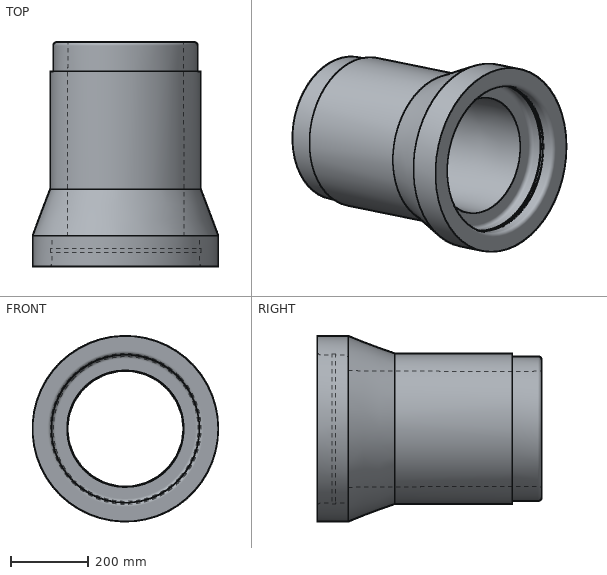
import cadquery as cq

length = 580.0
collar_diameter = 480.0
collar_length = 80.0
body_diameter = 390.0
taper_end_from_mouth = 200.0
spigot_diameter = 374.0
spigot_length = 76.0
spigot_edge_radius = 10.0

bore_mouth_diameter = 301.5
bore_spigot_diameter = 298.5

socket_diameter = 382.0
socket_depth = 80.0
socket_edge_radius = 10.0

groove_depth = 3.0
groove_width = 10.0
groove_start = 37.0

mouth_y = -length / 2
spigot_end_y = length / 2


def disc(diameter, start_y, depth):
    """Solid cylinder along +Y, starting at start_y."""
    return cq.Workplane("XZ", origin=(0, start_y, 0)).circle(diameter / 2).extrude(-depth)


def outer_body():
    """Collar, tapered neck, barrel and reduced spigot as one turned solid."""
    collar_radius = collar_diameter / 2
    body_radius = body_diameter / 2
    spigot_radius = spigot_diameter / 2
    shoulder_y = spigot_end_y - spigot_length
    profile = (
        cq.Workplane("XY")
        .moveTo(0, mouth_y)
        .lineTo(collar_radius, mouth_y)
        .lineTo(collar_radius, mouth_y + collar_length)
        .lineTo(body_radius, mouth_y + taper_end_from_mouth)
        .lineTo(body_radius, shoulder_y)
        .lineTo(spigot_radius, shoulder_y)
        .lineTo(spigot_radius, spigot_end_y)
        .lineTo(0, spigot_end_y)
        .close()
    )
    solid = profile.revolve(360, (0, 0, 0), (0, 1, 0))
    return solid.faces(">Y").edges().fillet(spigot_edge_radius)


def socket_cavity():
    """Socket space: rounded floor corner, flared mouth and a seal groove in the wall."""
    radius = socket_diameter / 2
    floor_y = mouth_y + socket_depth
    profile = (
        cq.Workplane("XY")
        .moveTo(0, mouth_y)
        .lineTo(radius + socket_edge_radius, mouth_y)
        .radiusArc((radius, mouth_y + socket_edge_radius), socket_edge_radius)
        .lineTo(radius, floor_y - socket_edge_radius)
        .radiusArc((radius - socket_edge_radius, floor_y), -socket_edge_radius)
        .lineTo(0, floor_y)
        .close()
    )
    cavity = profile.revolve(360, (0, 0, 0), (0, 1, 0))
    return cavity.union(disc(socket_diameter + 2 * groove_depth, mouth_y + groove_start, groove_width))


def bore():
    """Through bore narrowing slightly from the socket floor to the spigot end."""
    mouth_radius = bore_mouth_diameter / 2
    spigot_radius = bore_spigot_diameter / 2
    floor_y = mouth_y + socket_depth
    profile = (
        cq.Workplane("XY")
        .moveTo(0, floor_y)
        .lineTo(mouth_radius, floor_y)
        .lineTo(spigot_radius, spigot_end_y)
        .lineTo(0, spigot_end_y)
        .close()
    )
    return profile.revolve(360, (0, 0, 0), (0, 1, 0))


result = outer_body().cut(bore()).cut(socket_cavity())